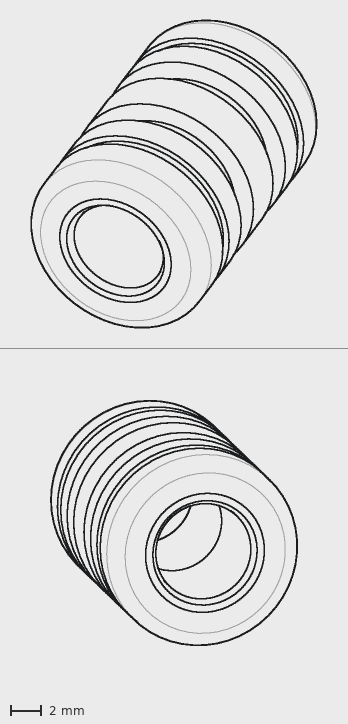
import cadquery as cq

length = 19.05
outer_diameter = 12.7
end_round = 1.01

bushing_diameter = 7.92
bore_diameter = 6.35
chamfer_width = 0.3
chamfer_depth = 0.51
bushing_length = length / 2

wide_groove_width = 2.02
wide_groove_diameter = 10.13
central_land_width = 3.18
wide_groove_offset = (central_land_width + wide_groove_width) / 2

narrow_groove_width = 1.01
narrow_groove_diameter = 11.9
narrow_groove_offset = 6.08

SIDES = (-1, 1)


def cylinder(diameter, width, center_y=0.0):
    """Solid cylinder along Y, centred at center_y."""
    start_y = center_y + width / 2
    return cq.Workplane("XZ", origin=(0, start_y, 0)).circle(diameter / 2).extrude(width)


def groove_ring(floor_diameter, width, center_y):
    """Ring of material removed to leave a groove around the housing."""
    blank = cylinder(outer_diameter + end_round, width, center_y)
    return blank.cut(cylinder(floor_diameter, width, center_y))


def make_housing():
    """Grooved outer sleeve with rounded ends and a plain through bore."""
    body = cylinder(outer_diameter, length).faces("<Y or >Y").edges().fillet(end_round)
    for side in SIDES:
        body = body.cut(groove_ring(wide_groove_diameter, wide_groove_width, side * wide_groove_offset))
        body = body.cut(groove_ring(narrow_groove_diameter, narrow_groove_width, side * narrow_groove_offset))
    return body.cut(cylinder(bushing_diameter, length))


def entry_cone(side):
    """Tapered cutter that opens the bore toward the outer face at one end."""
    outer_face = cq.Vector(0, side * length / 2, 0)
    inward = cq.Vector(0, -side, 0)
    bore_radius = bore_diameter / 2
    return cq.Solid.makeCone(bore_radius + chamfer_width, bore_radius, chamfer_depth, outer_face, inward)


def make_bushing(side):
    """Plain bushing at one end, its bore chamfered at the outer face."""
    center_y = side * bushing_length / 2
    body = cylinder(bushing_diameter, bushing_length, center_y)
    body = body.cut(cylinder(bore_diameter, bushing_length, center_y))
    return body.cut(cq.Workplane(entry_cone(side)))


housing = make_housing()
bushings = [make_bushing(side) for side in SIDES]

result = cq.Compound.makeCompound([housing.val(), *[bushing.val() for bushing in bushings]])